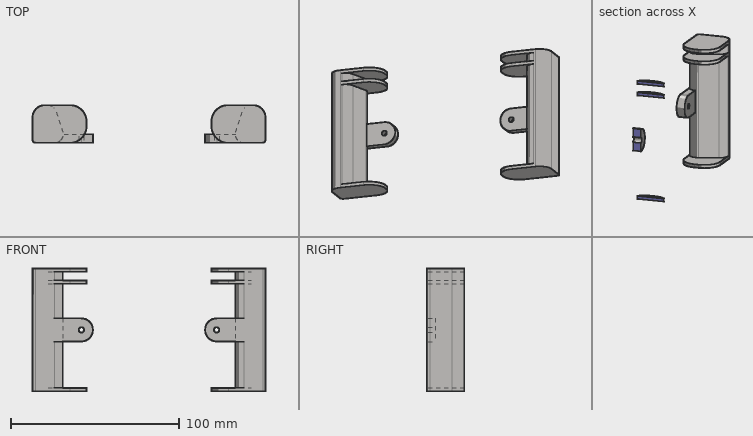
import cadquery as cq
import math

overall_length = 138.5
height = 73.0
depth = 22.5

plate_width = 32.3
plate_thickness = 2.1
shelf_top_drop = 7.0
outer_front_radius = 1.8
outer_back_radius = 7.5
inner_radius = 10.0

front_face_width = 12.9
nose_radius = 5.3
back_radius = 5.7
wall_lean = math.radians(18)

lug_center_offset = 29.1
lug_radius = 6.9
lug_thickness = 5.1
hole_diameter = 3.0

outer_x = -overall_length / 2


def make_block():
    """Full-height block with four rounded upright corners."""
    block = cq.Workplane("XY").box(plate_width, depth, height, centered=False)
    block = block.edges("|Z and <X and <Y").fillet(outer_front_radius)
    block = block.edges("|Z and <X and >Y").fillet(outer_back_radius)
    block = block.edges("|Z and >X").fillet(inner_radius)
    return block.translate((outer_x, 0, 0))


def make_cavity(bottom_z, top_z):
    """Cutter that leaves the upright: rounded nose, leaning inner wall and rounded back corner."""
    lean_cos = math.cos(wall_lean)
    lean_sin = math.sin(wall_lean)
    middle_angle = (math.pi / 2 - wall_lean) / 2 + wall_lean

    nose_x = outer_x + front_face_width
    wall_front = (nose_x + nose_radius * lean_cos, nose_radius * (1 + lean_sin))
    back_center_y = depth - back_radius
    wall_back_y = back_center_y + back_radius * lean_sin
    wall_back_x = wall_front[0] - (wall_back_y - wall_front[1]) * math.tan(wall_lean)
    back_center_x = wall_back_x - back_radius * lean_cos
    back_middle = (
        back_center_x + back_radius * math.cos(middle_angle),
        back_center_y + back_radius * math.sin(middle_angle),
    )

    inner_x = outer_x + plate_width
    return (
        cq.Workplane("XY", origin=(0, 0, bottom_z))
        .moveTo(nose_x, 0)
        .threePointArc((nose_x + nose_radius, nose_radius), wall_front)
        .lineTo(wall_back_x, wall_back_y)
        .threePointArc(back_middle, (back_center_x, depth))
        .lineTo(inner_x, depth)
        .lineTo(inner_x, 0)
        .close()
        .extrude(top_z - bottom_z)
    )


def make_lug():
    """Round-ended lug at mid-height, flush with the front face."""
    lug_start_x = outer_x + front_face_width
    lug_center_x = outer_x + lug_center_offset
    middle_z = height / 2
    return (
        cq.Workplane("XZ")
        .moveTo(lug_start_x, middle_z - lug_radius)
        .lineTo(lug_center_x, middle_z - lug_radius)
        .threePointArc((lug_center_x + lug_radius, middle_z), (lug_center_x, middle_z + lug_radius))
        .lineTo(lug_start_x, middle_z + lug_radius)
        .close()
        .extrude(-lug_thickness)
    )


def make_lug_hole():
    """Cutter for the through hole, concentric with the lug's round end."""
    return (
        cq.Workplane("XZ")
        .center(outer_x + lug_center_offset, height / 2)
        .circle(hole_diameter / 2)
        .extrude(-lug_thickness)
    )


def make_bracket():
    """Left-hand bracket."""
    top_plate_z = height - plate_thickness
    shelf_top_z = height - shelf_top_drop
    shelf_bottom_z = shelf_top_z - plate_thickness
    bracket = make_block()
    bracket = bracket.cut(make_cavity(plate_thickness, shelf_bottom_z))
    bracket = bracket.cut(make_cavity(shelf_top_z, top_plate_z))
    return bracket.union(make_lug()).cut(make_lug_hole())


brackets = []
for is_mirrored in (False, True):
    bracket = make_bracket()
    if is_mirrored:
        bracket = bracket.mirror("YZ")
    brackets.append(bracket.val())

result = cq.Compound.makeCompound(brackets)